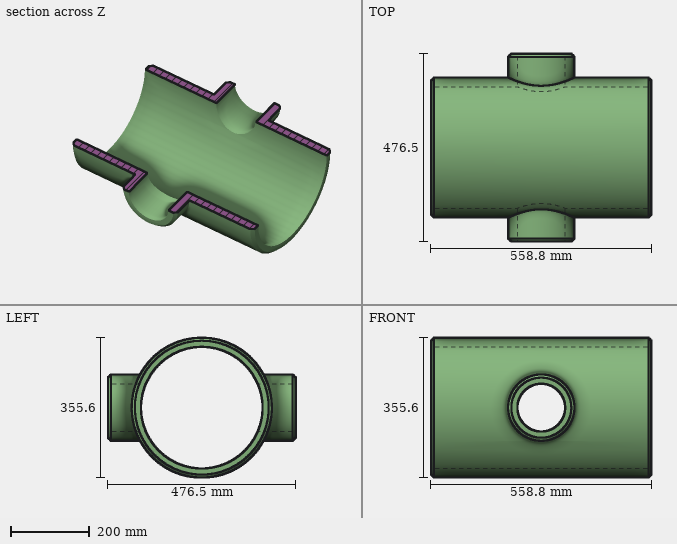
import cadquery as cq

run_length = 558.8
run_outer_diameter = 355.6
run_inner_diameter = 308.0

branch_span = 476.5
branch_outer_diameter = 168.3
branch_inner_diameter = 120.7

end_bevel = 8.0

run_plane = cq.Plane(origin=(0, 0, 0), xDir=(0, 0, 1), normal=(1, 0, 0))
branch_plane = cq.Plane(origin=(0, 0, 0), xDir=(0, 0, 1), normal=(0, 1, 0))


def bar(plane, length, diameter):
    """Round bar centred on the origin, along the normal of the plane."""
    return cq.Workplane(plane).workplane(offset=-length / 2).circle(diameter / 2).extrude(length)


def bevelled_bar(plane, length, diameter):
    """Round bar centred on the origin with both end edges bevelled."""
    return bar(plane, length, diameter).faces("%PLANE").edges().chamfer(end_bevel)


run = bevelled_bar(run_plane, run_length, run_outer_diameter)
branches = bevelled_bar(branch_plane, branch_span, branch_outer_diameter)
run_bore = bar(run_plane, run_length, run_inner_diameter)
branch_bore = bar(branch_plane, branch_span, branch_inner_diameter)

result = run.union(branches).cut(run_bore).cut(branch_bore)